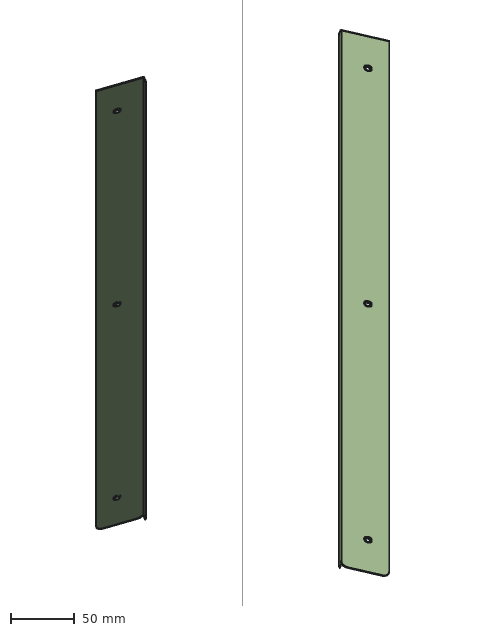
import cadquery as cq

length = 600.0
width = 40.0
flange_depth = 5.5
sheet = 0.9
bend_radius = 0.85

corner_radius = 6.0

hole_diameter = 3.9
countersink_diameter = 6.5
countersink_depth = 0.5
hole_offset = -2.5
hole_end_distance = 36.0
hole_pitch = length / 2 - hole_end_distance


def make_angle():
    """L-section strip: a wide web with a short flange along its back edge, rounded outside the bend."""
    back = width / 2
    web = cq.Workplane("XY").box(sheet, width, length, centered=(False, True, True))
    flange = (
        cq.Workplane("XY")
        .box(flange_depth, sheet, length, centered=(False, True, True))
        .translate((0, back - sheet / 2, 0))
    )
    angle = web.union(flange)
    return angle.edges(cq.NearestToPointSelector((0, back, 0))).fillet(bend_radius)


def make_rounded_envelope():
    """Side outline with both lower corners rounded, trimming web and flange alike."""
    block = cq.Workplane("XY").box(flange_depth, width, length, centered=(False, True, True))
    return block.edges("|X and <Z").fillet(corner_radius)


def make_holes():
    """Row of through holes, countersunk on the outer face and evenly spaced."""
    centers = [(hole_offset, step * hole_pitch) for step in (-1, 0, 1)]
    holes = cq.Workplane("YZ").pushPoints(centers).circle(hole_diameter / 2).extrude(sheet)
    sink = cq.Solid.makeCone(
        countersink_diameter / 2, hole_diameter / 2, countersink_depth, dir=cq.Vector(1, 0, 0)
    )
    for y, z in centers:
        holes = holes.union(cq.Workplane(sink.translate(cq.Vector(0, y, z))))
    return holes


result = make_angle().intersect(make_rounded_envelope()).cut(make_holes())